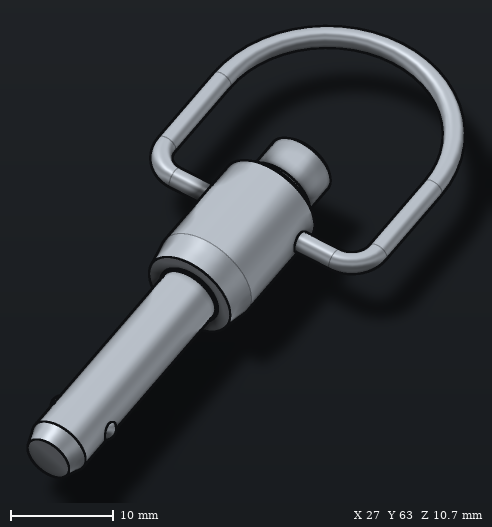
import cadquery as cq
import math

TOTAL_LENGTH = 63.0

SHANK_RADIUS = 3.15
TIP_RADIUS = 2.45
TIP_LENGTH = 1.9

BALL_RADIUS = 1.15
BALL_Y = 6.25
BALL_REACH = 3.65

LIP_RADIUS = 3.35
LIP_LENGTH = 0.2

COLLAR_RADIUS = 5.35
COLLAR_START_Y = 25.05
COLLAR_END_Y = 39.55
COLLAR_NOSE_RADIUS = 4.8
COLLAR_NOSE_LENGTH = 2.9
COLLAR_CHAMFER = 0.4

NECK_BASE_RADIUS = 4.3
NECK_TOP_RADIUS = 3.9
NECK_LENGTH = 1.0
BUTTON_RADIUS = 3.5
BUTTON_END_Y = 45.0
BUTTON_CHAMFER = 0.25

WIRE_RADIUS = 1.1
HANDLE_WIDTH = 27.0
HANDLE_CROSS_Y = 36.65
HANDLE_BEND_RADIUS = 3.0


def make_pin():
    """Turned body: shank, collar, neck and button as one revolved profile."""
    neck_end_y = COLLAR_END_Y + NECK_LENGTH
    profile = [
        (0, 0),
        (TIP_RADIUS, 0),
        (SHANK_RADIUS, TIP_LENGTH),
        (SHANK_RADIUS, COLLAR_START_Y - LIP_LENGTH),
        (LIP_RADIUS, COLLAR_START_Y - LIP_LENGTH),
        (LIP_RADIUS, COLLAR_START_Y),
        (COLLAR_NOSE_RADIUS, COLLAR_START_Y),
        (COLLAR_RADIUS, COLLAR_START_Y + COLLAR_NOSE_LENGTH),
        (COLLAR_RADIUS, COLLAR_END_Y - COLLAR_CHAMFER),
        (COLLAR_RADIUS - COLLAR_CHAMFER, COLLAR_END_Y),
        (NECK_BASE_RADIUS, COLLAR_END_Y),
        (NECK_TOP_RADIUS, neck_end_y),
        (BUTTON_RADIUS, neck_end_y),
        (BUTTON_RADIUS, BUTTON_END_Y - BUTTON_CHAMFER),
        (BUTTON_RADIUS - BUTTON_CHAMFER, BUTTON_END_Y),
        (0, BUTTON_END_Y),
    ]
    return cq.Workplane("XY").polyline(profile).close().revolve(360, (0, 0), (0, 1))


def make_ball(side):
    """Locking ball protruding from the shank on the +X (1) or -X (-1) side."""
    center_x = side * (BALL_REACH - BALL_RADIUS)
    return cq.Workplane("XY").sphere(BALL_RADIUS).translate((center_x, BALL_Y, 0))


def make_handle():
    """Closed D-shaped wire loop whose straight side passes through the collar."""
    half_width = HANDLE_WIDTH / 2 - WIRE_RADIUS
    bow_top_y = TOTAL_LENGTH - WIRE_RADIUS
    bow_center_y = bow_top_y - half_width
    bend_x = half_width - HANDLE_BEND_RADIUS
    bend_center_y = HANDLE_CROSS_Y + HANDLE_BEND_RADIUS
    bend_mid = HANDLE_BEND_RADIUS * math.sqrt(0.5)
    bend_mid_x = bend_x + bend_mid
    bend_mid_y = bend_center_y - bend_mid
    path = (
        cq.Workplane("XY")
        .moveTo(0, HANDLE_CROSS_Y)
        .lineTo(bend_x, HANDLE_CROSS_Y)
        .threePointArc((bend_mid_x, bend_mid_y), (half_width, bend_center_y))
        .lineTo(half_width, bow_center_y)
        .threePointArc((0, bow_top_y), (-half_width, bow_center_y))
        .lineTo(-half_width, bend_center_y)
        .threePointArc((-bend_mid_x, bend_mid_y), (-bend_x, HANDLE_CROSS_Y))
        .close()
    )
    section = cq.Workplane("YZ").center(HANDLE_CROSS_Y, 0).circle(WIRE_RADIUS)
    return section.sweep(path)


result = make_pin().union(make_handle())
for side in (-1, 1):
    result = result.union(make_ball(side))